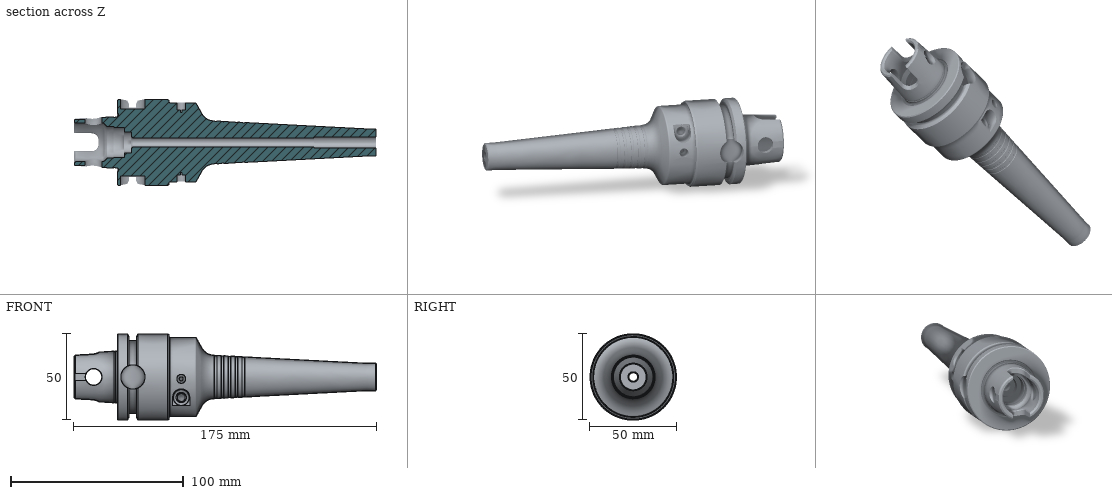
import cadquery as cq
import math

SHANK_LENGTH = 25.0
NOSE_LENGTH = 150.0

TAPER_RADIUS = 15.0
TAPER_PER_SIDE = 0.05
SHANK_TIP_CHAMFER = 0.8
RELIEF_START = -2.0
RELIEF_END = -1.1
RELIEF_DEPTH = 0.3
FACE_RECESS_RADIUS = 17.0
FACE_RECESS_DEPTH = 0.5

FLANGE_RADIUS = 25.0
FLANGE_LENGTH = 30.0
FLANGE_EDGE = 0.5
FLANGE_BACK_CHAMFER_X = 1.0
FLANGE_BACK_CHAMFER_R = 0.5
GROOVE_BOTTOM_RADIUS = 21.2
GROOVE_START = 6.8
GROOVE_END = 11.0
GROOVE_BEVEL_X = 1.0
GROOVE_BEVEL_ANGLE = math.radians(60)
GROOVE_BEVEL_R = GROOVE_BEVEL_X * math.tan(GROOVE_BEVEL_ANGLE)

BODY_RADIUS = 23.0
BODY_ROOT_CHAMFER = 0.4
BODY_EDGE_FILLET = 1.0
NECK_ANGLE = math.radians(61)
NECK_FILLET = 7.85

NOSE_TIP_RADIUS = 8.0
NOSE_TIP_START = 144.5
NOSE_TIP_CHAMFER = 0.5
NOSE_ANGLE = math.radians(3)
NOSE_START = 55.5
RING_COUNT = 5
RING_FIRST = 56.1
RING_PITCH = 4.0
RING_WIDTH = 1.7
RING_DEPTH = 0.2
RING_BEVEL = 0.2

MOUTH_RADIUS = 11.0
MOUTH_CHAMFER = 0.9
MOUTH_END = -8.0
CLAMP_RADIUS = 9.0
CLAMP_START = -6.0
SEAT_RADIUS = 8.6
SEAT_START = -2.0
SEAT_FLOOR = 4.0
STEP_RADIUS = 6.0
STEP_FLOOR = 8.0
COUNTERSINK_RADIUS = 3.3
COUNTERSINK_DEPTH = 1.0
THROUGH_RADIUS = 2.5
TOOL_BORE_RADIUS = 3.0
TOOL_BORE_DEPTH = 36.0

SLOT_WIDTH = 10.4
SLOT_DEPTH = 14.2
SLOT_CORNER = 4.0
SLOT_EDGE_CHAMFER = 0.4
CROSS_HOLE_DIAMETER = 9.5
CROSS_HOLE_X = -13.75
CROSS_GROOVE_WIDTH = 3.8
CROSS_GROOVE_DISTANCE = 13.45

POCKET_DIAMETER = 14.0
POCKET_X = 9.0
POCKET_FLOOR = 19.5

SEAT_X = 37.0
SMALL_HOLE_DIAMETER = 5.2
SMALL_HOLE_Z = -1.1
SMALL_HOLE_FLOOR = 19.0
SMALL_SOCKET_DIAMETER = 2.31
SMALL_SOCKET_DEPTH = 1.5
SCREW_Z = -11.9
SCREW_SEAT_WIDTH = 9.9
SCREW_SEAT_FLOOR = 16.1
SCREW_RECESS_DIAMETER = 9.2
SCREW_RECESS_DEPTH = 0.5
SCREW_RIM_DIAMETER = 6.0
SCREW_SOCKET_DIAMETER = 4.62
SCREW_SOCKET_DEPTH = 2.0
SCREW_POINT_DEPTH = 1.2


def cone_radius(x):
    """Radius of the conical nose at position x."""
    return NOSE_TIP_RADIUS + (NOSE_TIP_START - x) * math.tan(NOSE_ANGLE)


def taper_radius(x):
    """Radius of the shank taper at position x."""
    return TAPER_RADIUS + (x - RELIEF_START) * TAPER_PER_SIDE


def revolve(profile):
    """Turn a closed half profile about the X axis."""
    return profile.close().revolve(360, (0, 0, 0), (1, 0, 0))


def outer_body():
    """Turned outside of the whole part."""
    tip = -SHANK_LENGTH
    arc_center_x = NOSE_START + NECK_FILLET * math.sin(NOSE_ANGLE)
    arc_center_r = cone_radius(NOSE_START) + NECK_FILLET * math.cos(NOSE_ANGLE)

    def neck_point(angle):
        x = arc_center_x - NECK_FILLET * math.sin(angle)
        return (x, arc_center_r - NECK_FILLET * math.cos(angle))

    neck_start = neck_point(NECK_ANGLE)
    neck_middle = neck_point((NECK_ANGLE + NOSE_ANGLE) / 2)
    body_end = neck_start[0] - (BODY_RADIUS - neck_start[1]) / math.tan(NECK_ANGLE)
    edge_start = body_end - BODY_EDGE_FILLET * math.tan(NECK_ANGLE / 2)

    def edge_point(angle):
        x = edge_start + BODY_EDGE_FILLET * math.sin(angle)
        return (x, BODY_RADIUS - BODY_EDGE_FILLET * (1 - math.cos(angle)))

    groove_shoulder = FLANGE_RADIUS - GROOVE_BEVEL_R
    relief_radius = TAPER_RADIUS - RELIEF_DEPTH

    profile = (
        cq.Workplane("XY")
        .moveTo(tip, 0)
        .lineTo(tip, taper_radius(tip) - SHANK_TIP_CHAMFER)
        .lineTo(tip + SHANK_TIP_CHAMFER, taper_radius(tip + SHANK_TIP_CHAMFER))
        .lineTo(RELIEF_START, TAPER_RADIUS)
        .lineTo(RELIEF_START, relief_radius)
        .lineTo(RELIEF_END, relief_radius)
        .lineTo(RELIEF_END, TAPER_RADIUS)
        .lineTo(0, TAPER_RADIUS)
        .lineTo(FACE_RECESS_DEPTH, TAPER_RADIUS + FACE_RECESS_DEPTH)
        .lineTo(FACE_RECESS_DEPTH, FACE_RECESS_RADIUS - FACE_RECESS_DEPTH)
        .lineTo(0, FACE_RECESS_RADIUS)
        .lineTo(0, FLANGE_RADIUS - FLANGE_EDGE)
        .lineTo(FLANGE_EDGE, FLANGE_RADIUS)
        .lineTo(GROOVE_START - GROOVE_BEVEL_X, FLANGE_RADIUS)
        .lineTo(GROOVE_START, groove_shoulder)
        .lineTo(GROOVE_START, GROOVE_BOTTOM_RADIUS)
        .lineTo(GROOVE_END, GROOVE_BOTTOM_RADIUS)
        .lineTo(GROOVE_END, groove_shoulder)
        .lineTo(GROOVE_END + GROOVE_BEVEL_X, FLANGE_RADIUS)
        .lineTo(FLANGE_LENGTH - FLANGE_BACK_CHAMFER_X, FLANGE_RADIUS)
        .lineTo(FLANGE_LENGTH, FLANGE_RADIUS - FLANGE_BACK_CHAMFER_R)
        .lineTo(FLANGE_LENGTH, BODY_RADIUS + BODY_ROOT_CHAMFER)
        .lineTo(FLANGE_LENGTH + BODY_ROOT_CHAMFER, BODY_RADIUS)
        .lineTo(edge_start, BODY_RADIUS)
        .threePointArc(edge_point(NECK_ANGLE / 2), edge_point(NECK_ANGLE))
        .lineTo(*neck_start)
        .threePointArc(neck_middle, (NOSE_START, cone_radius(NOSE_START)))
        .lineTo(NOSE_TIP_START, NOSE_TIP_RADIUS)
        .lineTo(NOSE_LENGTH - NOSE_TIP_CHAMFER, NOSE_TIP_RADIUS)
        .lineTo(NOSE_LENGTH, NOSE_TIP_RADIUS - NOSE_TIP_CHAMFER)
        .lineTo(NOSE_LENGTH, 0)
    )
    return revolve(profile)


def nose_rings():
    """Shallow grooves around the root of the nose, parallel to its surface."""
    cutter = None
    for index in range(RING_COUNT):
        start = RING_FIRST + index * RING_PITCH
        end = start + RING_WIDTH
        floor_start = start + RING_BEVEL
        floor_end = end - RING_BEVEL
        profile = (
            cq.Workplane("XY")
            .moveTo(start, cone_radius(start))
            .lineTo(start, BODY_RADIUS)
            .lineTo(end, BODY_RADIUS)
            .lineTo(end, cone_radius(end))
            .lineTo(floor_end, cone_radius(floor_end) - RING_DEPTH)
            .lineTo(floor_start, cone_radius(floor_start) - RING_DEPTH)
        )
        ring = revolve(profile)
        cutter = ring if cutter is None else cutter.union(ring)
    return cutter


def bore():
    """Stepped bore from the shank mouth through to the tool bore in the nose."""
    tip = -SHANK_LENGTH
    profile = (
        cq.Workplane("XY")
        .moveTo(tip, 0)
        .lineTo(tip, MOUTH_RADIUS + MOUTH_CHAMFER)
        .lineTo(tip + MOUTH_CHAMFER, MOUTH_RADIUS)
        .lineTo(MOUTH_END, MOUTH_RADIUS)
        .lineTo(CLAMP_START, CLAMP_RADIUS)
        .lineTo(SEAT_START, CLAMP_RADIUS)
        .lineTo(SEAT_START, SEAT_RADIUS)
        .lineTo(SEAT_FLOOR, SEAT_RADIUS)
        .lineTo(SEAT_FLOOR, STEP_RADIUS)
        .lineTo(STEP_FLOOR, STEP_RADIUS)
        .lineTo(STEP_FLOOR, COUNTERSINK_RADIUS)
        .lineTo(STEP_FLOOR + COUNTERSINK_DEPTH, THROUGH_RADIUS)
        .lineTo(NOSE_LENGTH - TOOL_BORE_DEPTH, THROUGH_RADIUS)
        .lineTo(NOSE_LENGTH - TOOL_BORE_DEPTH, TOOL_BORE_RADIUS)
        .lineTo(NOSE_LENGTH, TOOL_BORE_RADIUS)
        .lineTo(NOSE_LENGTH, 0)
    )
    return revolve(profile)


def drive_slots():
    """Open slot with rounded inner corners, across the shank along Z."""
    length = 2 * SLOT_DEPTH
    height = 2 * FACE_RECESS_RADIUS
    slot = cq.Workplane("XY").box(length, SLOT_WIDTH, height)
    slot = slot.edges("|Z").fillet(SLOT_CORNER)
    mouth = cq.Workplane("XY").box(SLOT_DEPTH, SLOT_WIDTH, height)
    mouth = mouth.translate((-SLOT_DEPTH / 2, 0, 0))
    return slot.union(mouth).translate((-SHANK_LENGTH, 0, 0))


def y_cylinder(x, z, diameter, near, far):
    """Cylinder along Y on the -Y side, between two distances from the axis."""
    plane = cq.Workplane("XZ", origin=(x, -near, z))
    return plane.circle(diameter / 2).extrude(far - near)


def cross_hole():
    """Cross hole through the shank along Y."""
    return y_cylinder(CROSS_HOLE_X, 0, CROSS_HOLE_DIAMETER, -FLANGE_RADIUS, FLANGE_RADIUS)


def shank_groove():
    """Narrow shallow groove on the -Y side from the tip to the cross hole."""
    length = CROSS_HOLE_X + SHANK_LENGTH
    groove = cq.Workplane("XY").box(length, FLANGE_RADIUS - CROSS_GROOVE_DISTANCE, CROSS_GROOVE_WIDTH)
    middle = (FLANGE_RADIUS + CROSS_GROOVE_DISTANCE) / 2
    return groove.translate((CROSS_HOLE_X - length / 2, -middle, 0))


def flange_pocket():
    """Round flat-bottomed pocket across the gripper groove."""
    return y_cylinder(POCKET_X, 0, POCKET_DIAMETER, POCKET_FLOOR, FLANGE_RADIUS)


def small_hole():
    """Round hole in the body with a small socket in its floor."""
    hole = y_cylinder(SEAT_X, SMALL_HOLE_Z, SMALL_HOLE_DIAMETER, SMALL_HOLE_FLOOR, FLANGE_RADIUS)
    socket_floor = SMALL_HOLE_FLOOR - SMALL_SOCKET_DEPTH
    socket = y_cylinder(SEAT_X, SMALL_HOLE_Z, SMALL_SOCKET_DIAMETER, socket_floor, FLANGE_RADIUS)
    return hole.union(socket)


def screw_cone(large, small, near, depth):
    """Cone along Y that narrows from one diameter to another going inward."""
    cone = cq.Solid.makeCone(
        large / 2, small / 2, depth, cq.Vector(SEAT_X, -near, SCREW_Z), cq.Vector(0, 1, 0)
    )
    return cq.Workplane("XY").add(cone)


def screw_seat():
    """Arched seat that runs out of the body below, with a screw socket in it."""
    arch = y_cylinder(SEAT_X, SCREW_Z, SCREW_SEAT_WIDTH, SCREW_SEAT_FLOOR, FLANGE_RADIUS)
    drop = FLANGE_RADIUS + SCREW_Z
    run_out = cq.Workplane("XY").box(SCREW_SEAT_WIDTH, FLANGE_RADIUS - SCREW_SEAT_FLOOR, drop)
    middle = (FLANGE_RADIUS + SCREW_SEAT_FLOOR) / 2
    run_out = run_out.translate((SEAT_X, -middle, SCREW_Z - drop / 2))
    recess_floor = SCREW_SEAT_FLOOR - SCREW_RECESS_DEPTH
    recess = y_cylinder(SEAT_X, SCREW_Z, SCREW_RECESS_DIAMETER, recess_floor, SCREW_SEAT_FLOOR)
    rim_depth = (SCREW_RIM_DIAMETER - SCREW_SOCKET_DIAMETER) / 2
    rim = screw_cone(SCREW_RIM_DIAMETER, SCREW_SOCKET_DIAMETER, recess_floor, rim_depth)
    socket_floor = recess_floor - SCREW_SOCKET_DEPTH
    socket = y_cylinder(SEAT_X, SCREW_Z, SCREW_SOCKET_DIAMETER, socket_floor, recess_floor)
    point = screw_cone(SCREW_SOCKET_DIAMETER, 0, socket_floor, SCREW_POINT_DEPTH)
    return arch.union(run_out).union(recess).union(rim).union(socket).union(point)


def both_sides(cutter):
    """The cutter together with its half-turn copy about the X axis."""
    return cutter.union(cutter.rotate((0, 0, 0), (1, 0, 0), 180))


def chamfer_slot_edges(shank):
    """Break the outer and inner edges of the drive slots."""
    slot_end = SLOT_DEPTH - SHANK_LENGTH
    inside_taper = taper_radius(-SHANK_LENGTH)
    margin = SLOT_EDGE_CHAMFER

    def is_slot_edge(edge):
        point = edge.Center()
        beside_slot = abs(point.y) < SLOT_WIDTH / 2 + margin and point.x < slot_end + margin
        radius = math.hypot(point.y, point.z)
        on_surface = radius > inside_taper or abs(radius - MOUTH_RADIUS) < margin
        return beside_slot and on_surface and point.x > MOUTH_CHAMFER - SHANK_LENGTH

    edges = [edge for edge in shank.edges().vals() if is_slot_edge(edge)]
    return shank.newObject(edges).chamfer(SLOT_EDGE_CHAMFER)


result = outer_body().cut(bore()).cut(drive_slots())
result = chamfer_slot_edges(result)
result = result.cut(cross_hole()).cut(nose_rings())
for side_feature in (shank_groove(), flange_pocket(), small_hole(), screw_seat()):
    result = result.cut(both_sides(side_feature))